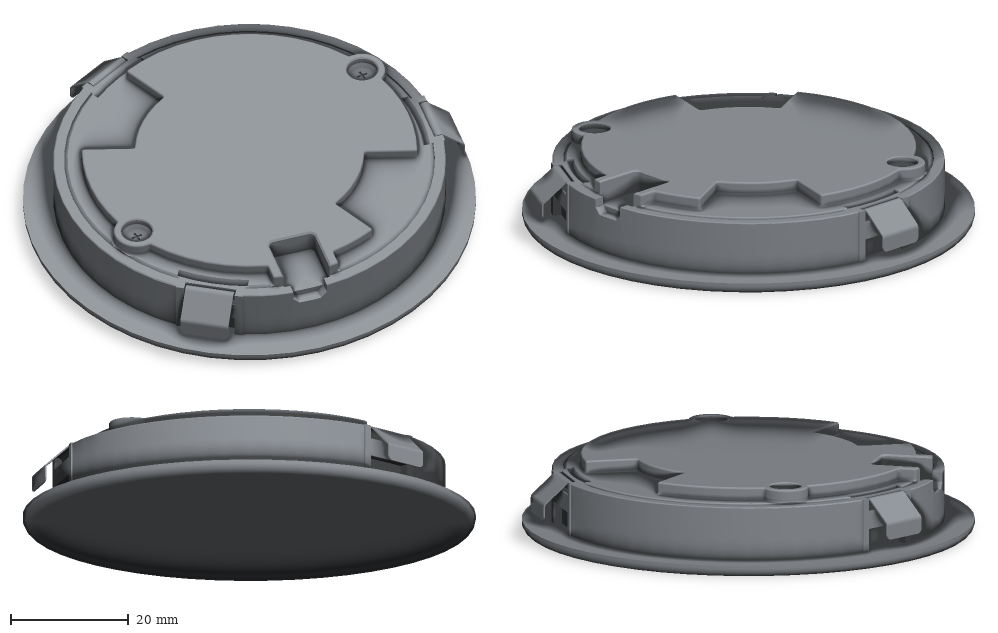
import cadquery as cq
import math

FLANGE_RADIUS = 38.5
FLANGE_HEIGHT = 2.0
FLANGE_ROUND = 1.5

BODY_RADIUS = 33.35
RIM_Z = 11.07
RIM_ROUND = 0.2
RIM_INNER_RADIUS = 31.5
GROOVE_Z = 10.7
PLATE_Z = 11.3
PLATE_RADIUS = 31.4
PLATE_BEVEL = 0.5

TOTAL_HEIGHT = 13.47
COVER_RADIUS = 28.5
COVER_REACH = 31.45
COVER_CORNER = 0.4
COVER_EDGE_ROUND = 0.35
COVER_FOOT_ROUND = 0.35

POCKET_ANGLES = (50.4, 230.4)
POCKET_INNER_RADIUS = 19.5
POCKET_INNER_HALF_ANGLE = 20.3
POCKET_OUTER_HALF_ANGLE = 21.2

SCREW_RADIUS = 27.5
SCREW_ANGLES = (117.8, 297.8)
BOSS_RADIUS = 3.9
SCREW_HOLE_RADIUS = 2.65
SCREW_HOLE_BEVEL = 0.2
SCREW_HOLE_DEPTH = 1.1
SCREW_FACE_RADIUS = 1.95
SCREW_FACE_DEPTH = 1.5
CROSS_LENGTH = 1.9
CROSS_WIDTH = 0.4
CROSS_DEPTH = 0.4
CROSS_TURN = 10.0

ISLAND_HALF_WIDTH = 5.8
SOCKET_INNER_X = 22.5
SOCKET_HALF_WIDTH = 4.1
SOCKET_CORNER = 1.0
SOCKET_FLOOR_Z = 9.5
SOCKET_EDGE_BEVEL = 0.3
NOTCH_HALF_WIDTH = 3.0
NOTCH_FLOOR_HALF_WIDTH = 1.95
NOTCH_FLOOR_Z = SOCKET_FLOOR_Z - (NOTCH_HALF_WIDTH - NOTCH_FLOOR_HALF_WIDTH)

CLIP_ANGLES = (90.0, 210.0, 330.0)
PAD_DISTANCE = 33.1
PAD_HALF_WIDTH = 5.75
PAD_INNER_DISTANCE = 30.0
WINDOW_HALF_WIDTH = 4.4
WINDOW_BACK_DISTANCE = 31.6
LOWER_WINDOW_TOP_Z = 5.85
UPPER_WINDOW_BOTTOM_Z = 8.85
VALLEY_HALF_WIDTH = 6.1
VALLEY_INNER_RADIUS = 29.7
VALLEY_FLOOR_RADIUS = 30.2
VALLEY_OUTER_RADIUS = 30.95
VALLEY_FLOOR_Z = 10.3
CLIP_HALF_WIDTH = 4.15
CLIP_THICKNESS = 0.25
CLIP_OUTER_DISTANCE = 37.2
CLIP_BOTTOM_Z = 4.45
CLIP_BEND_Z = 7.3
CLIP_SLOPE = math.radians(41.8)
CLIP_TOP_ROUND = 1.0
CLIP_TAB_ROUND = 0.9
CLIP_CORNER = 0.9


def polar(radius, angle):
    """Point at a radius and an angle in degrees."""
    return radius * math.cos(math.radians(angle)), radius * math.sin(math.radians(angle))


def cylinder(radius, bottom, top):
    return cq.Workplane("XY").workplane(offset=bottom).circle(radius).extrude(top - bottom)


def block(x_min, x_max, half_width, bottom, top):
    """Box spanning x_min..x_max, centred on the X axis."""
    return cq.Workplane("XY").box(
        x_max - x_min, 2 * half_width, top - bottom, centered=(False, True, False)
    ).translate((x_min, 0, bottom))


def turn(shape, angle):
    return shape.rotate((0, 0, 0), (0, 0, 1), angle)


def make_base():
    """Flange and drum; the groove parts the rim from the bevelled plate inside it."""
    flange = cylinder(FLANGE_RADIUS, 0, FLANGE_HEIGHT).faces("<Z").edges().fillet(FLANGE_ROUND)
    drum = cylinder(BODY_RADIUS, 0, RIM_Z).faces(">Z").edges().fillet(RIM_ROUND)
    drum = drum.cut(cylinder(RIM_INNER_RADIUS, GROOVE_Z, RIM_Z))
    plate = cylinder(PLATE_RADIUS, 0, PLATE_Z).faces(">Z").edges().chamfer(PLATE_BEVEL)
    return flange.union(drum).union(plate)


def make_pad():
    """Flat pad carrying one clip, along +X, and backed by a block behind the clip."""
    return block(PAD_INNER_DISTANCE, PAD_DISTANCE, PAD_HALF_WIDTH, FLANGE_HEIGHT, RIM_Z)


def make_flat():
    """Cutter that trims the drum flush with the flat face of one pad."""
    return block(PAD_DISTANCE, FLANGE_RADIUS, PAD_HALF_WIDTH, FLANGE_HEIGHT, RIM_Z)


def make_valley():
    """V-shaped relief between the plate and one pad; the plate above the pad is removed too."""
    ring = (
        cq.Workplane("XZ")
        .moveTo(VALLEY_INNER_RADIUS, PLATE_Z)
        .lineTo(VALLEY_FLOOR_RADIUS, VALLEY_FLOOR_Z)
        .lineTo(VALLEY_OUTER_RADIUS, RIM_Z)
        .lineTo(RIM_INNER_RADIUS, RIM_Z)
        .lineTo(RIM_INNER_RADIUS, PLATE_Z)
        .close()
        .revolve(360, (0, 0, 0), (0, 1, 0))
    )
    return ring.intersect(block(0, BODY_RADIUS, VALLEY_HALF_WIDTH, 0, TOTAL_HEIGHT))


def make_windows():
    """Lower and upper openings in one pad; a bridge is left between them."""
    back = WINDOW_BACK_DISTANCE
    lower = block(back, BODY_RADIUS, WINDOW_HALF_WIDTH, FLANGE_HEIGHT, LOWER_WINDOW_TOP_Z)
    upper = block(back, BODY_RADIUS, WINDOW_HALF_WIDTH, UPPER_WINDOW_BOTTOM_Z, PLATE_Z)
    return lower.union(upper)


def round_edge_at(shape, point, radius):
    """Fillet the edge crossing the XZ plane at the given point."""
    x, z = point
    return shape.edges(cq.selectors.NearestToPointSelector((x, 0, z))).fillet(radius)


def make_clip():
    """Bent sheet: up the back of the window, over a rounded top, down a slope to a tab."""
    inner_back = WINDOW_BACK_DISTANCE + CLIP_THICKNESS
    inner_tab = CLIP_OUTER_DISTANCE - CLIP_THICKNESS
    drop = math.tan(CLIP_SLOPE)
    inner_bend_z = CLIP_BEND_Z - CLIP_THICKNESS / math.cos(CLIP_SLOPE) + CLIP_THICKNESS * drop
    top_bend = (WINDOW_BACK_DISTANCE, CLIP_BEND_Z + (CLIP_OUTER_DISTANCE - WINDOW_BACK_DISTANCE) * drop)
    inner_top_bend = (inner_back, inner_bend_z + (inner_tab - inner_back) * drop)
    tab_bend = (CLIP_OUTER_DISTANCE, CLIP_BEND_Z)
    inner_tab_bend = (inner_tab, inner_bend_z)
    sheet = (
        cq.Workplane("XZ")
        .moveTo(WINDOW_BACK_DISTANCE, UPPER_WINDOW_BOTTOM_Z)
        .lineTo(*top_bend)
        .lineTo(*tab_bend)
        .lineTo(CLIP_OUTER_DISTANCE, CLIP_BOTTOM_Z)
        .lineTo(inner_tab, CLIP_BOTTOM_Z)
        .lineTo(*inner_tab_bend)
        .lineTo(*inner_top_bend)
        .lineTo(inner_back, UPPER_WINDOW_BOTTOM_Z)
        .close()
        .extrude(CLIP_HALF_WIDTH, both=True)
    )
    sheet = sheet.edges("|X").edges("<Z").fillet(CLIP_CORNER)
    bends = ((top_bend, inner_top_bend, CLIP_TOP_ROUND), (tab_bend, inner_tab_bend, CLIP_TAB_ROUND))
    for outer, inner, radius in bends:
        sheet = round_edge_at(sheet, outer, radius)
        sheet = round_edge_at(sheet, inner, radius - CLIP_THICKNESS)
    return sheet


def make_pocket(angle):
    """Sector cutter from an inner arc outwards past the cover edge."""
    inner_start = polar(POCKET_INNER_RADIUS, angle - POCKET_INNER_HALF_ANGLE)
    inner_middle = polar(POCKET_INNER_RADIUS, angle)
    inner_end = polar(POCKET_INNER_RADIUS, angle + POCKET_INNER_HALF_ANGLE)
    outer_start = polar(COVER_RADIUS, angle - POCKET_OUTER_HALF_ANGLE)
    outer_middle = polar(COVER_REACH, angle)
    outer_end = polar(COVER_RADIUS, angle + POCKET_OUTER_HALF_ANGLE)
    return (
        cq.Workplane("XY")
        .workplane(offset=PLATE_Z)
        .moveTo(*inner_start)
        .threePointArc(inner_middle, inner_end)
        .lineTo(*outer_end)
        .threePointArc(outer_middle, outer_start)
        .close()
        .extrude(TOTAL_HEIGHT - PLATE_Z)
    )


def make_reaches(bottom, top):
    """Connector island and screw bosses, which reach out to the plate edge."""
    reaches = block(SOCKET_INNER_X, BODY_RADIUS, ISLAND_HALF_WIDTH, bottom, top)
    for angle in SCREW_ANGLES:
        boss = cylinder(BOSS_RADIUS, bottom, top)
        reaches = reaches.union(boss.translate((*polar(SCREW_RADIUS, angle), 0)))
    return reaches.intersect(cylinder(COVER_REACH, bottom, top))


def make_cover():
    """Raised cover with rounded corners and top edge, and a hollow round along its foot."""
    cover = cylinder(COVER_RADIUS, PLATE_Z, TOTAL_HEIGHT).union(make_reaches(PLATE_Z, TOTAL_HEIGHT))
    for angle in POCKET_ANGLES:
        cover = cover.cut(make_pocket(angle))
    cover = cover.edges("|Z").fillet(COVER_CORNER)
    cover = cover.faces(">Z").edges().fillet(COVER_EDGE_ROUND)

    bed = cylinder(BODY_RADIUS, GROOVE_Z, PLATE_Z)
    bed_top = cover.union(bed).faces("+Z").faces("<Z")
    foot_edges = bed_top.wires(cq.selectors.LengthNthSelector(-1)).edges()
    cover = foot_edges.fillet(COVER_FOOT_ROUND)
    cover = cover.intersect(cylinder(COVER_REACH, PLATE_Z, TOTAL_HEIGHT))
    return cover.union(make_reaches(GROOVE_Z, PLATE_Z))


def make_screw_recess():
    """Bevelled hole on the Z axis, dished down to a screw face with a cross recess."""
    face_z = TOTAL_HEIGHT - SCREW_FACE_DEPTH
    wall_bottom_z = TOTAL_HEIGHT - SCREW_HOLE_DEPTH
    hole = (
        cq.Workplane("XZ")
        .moveTo(0, face_z)
        .lineTo(SCREW_FACE_RADIUS, face_z)
        .lineTo(SCREW_HOLE_RADIUS, wall_bottom_z)
        .lineTo(SCREW_HOLE_RADIUS, TOTAL_HEIGHT - SCREW_HOLE_BEVEL)
        .lineTo(SCREW_HOLE_RADIUS + SCREW_HOLE_BEVEL, TOTAL_HEIGHT)
        .lineTo(0, TOTAL_HEIGHT)
        .close()
        .revolve(360, (0, 0, 0), (0, 1, 0))
    )
    arm = block(-CROSS_LENGTH / 2, CROSS_LENGTH / 2, CROSS_WIDTH / 2, face_z - CROSS_DEPTH, face_z)
    cross = arm.union(turn(arm, 90))
    return hole.union(turn(cross, CROSS_TURN))


def make_socket():
    """Connector recess, bevelled where it opens in the cover top."""
    recess = block(SOCKET_INNER_X, RIM_INNER_RADIUS, SOCKET_HALF_WIDTH, SOCKET_FLOOR_Z, TOTAL_HEIGHT)
    recess = recess.edges("|Z and <X").fillet(SOCKET_CORNER)
    mouth = (
        cq.Workplane("XY")
        .workplane(offset=TOTAL_HEIGHT - SOCKET_EDGE_BEVEL)
        .add(recess.faces(">Z").wires().translate((0, 0, -SOCKET_EDGE_BEVEL)))
        .toPending()
        .extrude(SOCKET_EDGE_BEVEL, taper=-45)
    )
    return recess.union(mouth)


def make_rim_notch():
    """Opening through the rim in front of the connector, tapered towards its floor."""
    return (
        cq.Workplane("YZ")
        .workplane(offset=(SOCKET_INNER_X + RIM_INNER_RADIUS) / 2)
        .moveTo(-NOTCH_HALF_WIDTH, TOTAL_HEIGHT)
        .lineTo(-NOTCH_HALF_WIDTH, SOCKET_FLOOR_Z)
        .lineTo(-NOTCH_FLOOR_HALF_WIDTH, NOTCH_FLOOR_Z)
        .lineTo(NOTCH_FLOOR_HALF_WIDTH, NOTCH_FLOOR_Z)
        .lineTo(NOTCH_HALF_WIDTH, SOCKET_FLOOR_Z)
        .lineTo(NOTCH_HALF_WIDTH, TOTAL_HEIGHT)
        .close()
        .extrude(BODY_RADIUS)
        .cut(cylinder(RIM_INNER_RADIUS, 0, TOTAL_HEIGHT))
    )


part = make_base()
for clip_angle in CLIP_ANGLES:
    part = part.union(turn(make_pad(), clip_angle))
    part = part.cut(turn(make_flat(), clip_angle))
    part = part.cut(turn(make_valley(), clip_angle))
    part = part.cut(turn(make_windows(), clip_angle))
    part = part.union(turn(make_clip(), clip_angle))
part = part.union(make_cover())
for screw_angle in SCREW_ANGLES:
    part = part.cut(make_screw_recess().translate((*polar(SCREW_RADIUS, screw_angle), 0)))
part = part.cut(make_socket()).cut(make_rim_notch())
result = part.solids()